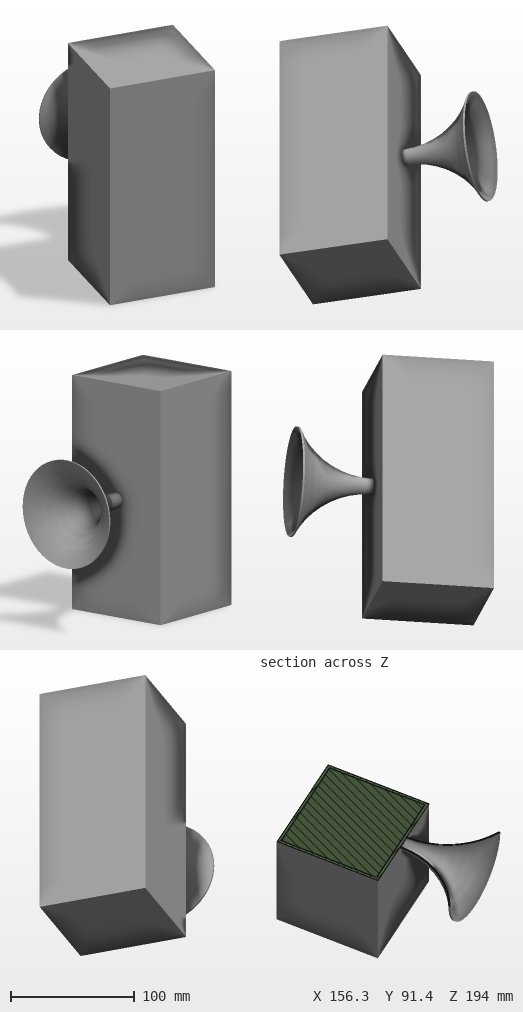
import cadquery as cq
import math

height = 194.0
box_width = 91.4
sleeve_wall = 3.0

total_length = 156.3
horn_length = total_length - box_width
mouth_radius = 89.5 / 2
neck_radius = 12.8 / 2
horn_wall = 1.4
lip_length = 1.5
collar_length = 1.0

box_face_x = -box_width / 2
mouth_x = box_face_x - horn_length

flare_end_x = box_face_x - collar_length
flare_start_x = mouth_x + lip_length
flare_length = flare_end_x - flare_start_x
flare_rise = mouth_radius - neck_radius
flare_radius = (flare_length**2 + flare_rise**2) / (2 * flare_rise)
flare_centre_r = neck_radius + flare_radius

inner_flare_radius = flare_radius + horn_wall
bore_radius = neck_radius - horn_wall


def flare_point(radius, angle):
    """Point (x, r) on a flare arc; the angle is measured from the neck end."""
    return (
        flare_end_x - radius * math.sin(angle),
        flare_centre_r - radius * math.cos(angle),
    )


def make_sleeve():
    outside = cq.Workplane("XY").box(box_width, box_width, height)
    return outside.cut(make_core())


def make_core():
    core_width = box_width - 2 * sleeve_wall
    return cq.Workplane("XY").box(core_width, core_width, height)


def make_horn():
    outer_angle = math.asin(flare_length / flare_radius)
    inner_angle = math.asin((flare_end_x - mouth_x) / inner_flare_radius)
    profile = (
        cq.Workplane("XY")
        .moveTo(mouth_x, mouth_radius)
        .lineTo(flare_start_x, mouth_radius)
        .threePointArc(
            flare_point(flare_radius, outer_angle / 2),
            (flare_end_x, neck_radius),
        )
        .lineTo(box_face_x, neck_radius)
        .lineTo(box_face_x, bore_radius)
        .lineTo(flare_end_x, bore_radius)
        .threePointArc(
            flare_point(inner_flare_radius, inner_angle / 2),
            flare_point(inner_flare_radius, inner_angle),
        )
        .close()
    )
    return profile.revolve(360, (0, 0, 0), (1, 0, 0))


sleeve = make_sleeve()
core = make_core()
horn = make_horn()

result = cq.Compound.makeCompound([sleeve.val(), core.val(), horn.val()])